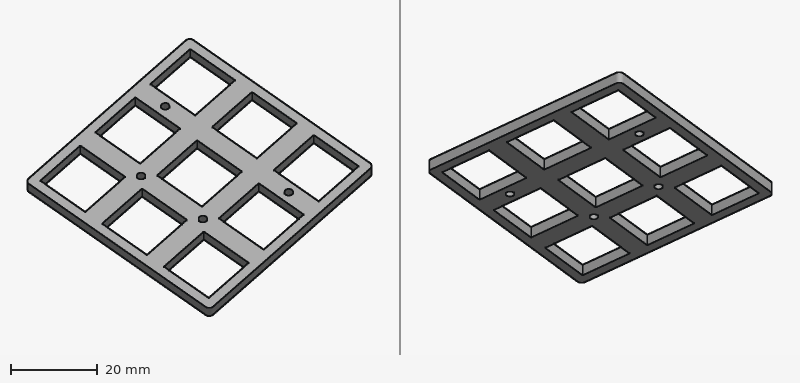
import cadquery as cq

plate_side = 56.85
plate_thickness = 3.0
corner_radius = 1.2

openings_per_side = 3
opening_pitch = 19.05
opening_side = 13.8

screw_hole_diameter = 2.0
rib_offset = opening_pitch / 2
screw_hole_centers = [
    (-opening_pitch, rib_offset),
    (opening_pitch, rib_offset),
    (-rib_offset, -rib_offset),
    (rib_offset, -rib_offset),
]

plate = (
    cq.Workplane("XY")
    .rect(plate_side, plate_side)
    .extrude(plate_thickness)
    .edges("|Z")
    .fillet(corner_radius)
)

openings = (
    cq.Workplane("XY")
    .rarray(opening_pitch, opening_pitch, openings_per_side, openings_per_side)
    .rect(opening_side, opening_side)
    .extrude(plate_thickness)
)

screw_holes = (
    cq.Workplane("XY")
    .pushPoints(screw_hole_centers)
    .circle(screw_hole_diameter / 2)
    .extrude(plate_thickness)
)

result = plate.cut(openings).cut(screw_holes)